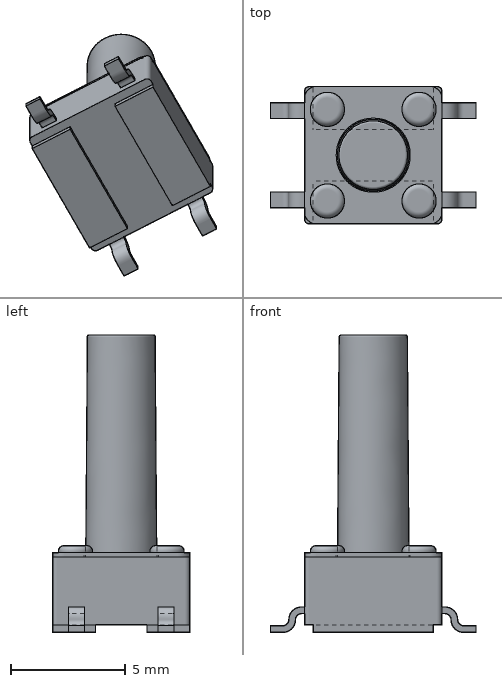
import cadquery as cq
import math

base_width = 6.0
base_corner_radius = 0.21
foot_height = 0.34
foot_half_length = 2.63
foot_width = 1.88
lid_bottom = 3.3
lid_top = 3.48
lid_corner_radius = 0.52

post_diameter = 1.5
post_height = 0.31
post_fillet = 0.25
post_spacing = 4.0

lid_hole_diameter = 3.24
button_bottom_diameter = 3.13
button_top_diameter = 2.99
button_top = 13.0
button_fillet = 0.098

lead_span = 9.0
lead_width = 0.7
lead_spacing = 3.9
lead_thickness = 0.3
lead_inner_radius = 0.26
lead_foot_length = 0.55

half_width = base_width / 2


def square_corners(spacing):
    """Centres of four features on a square."""
    half = spacing / 2
    return [(x, y) for x in (-half, half) for y in (-half, half)]


def rounded_block(bottom, top, corner_radius):
    """Square block of the base width with rounded vertical edges."""
    block = cq.Workplane("XY").workplane(offset=bottom).rect(base_width, base_width)
    return block.extrude(top - bottom).edges("|Z").fillet(corner_radius)


def make_button():
    """Slightly tapered round button rising from the top of the base."""
    return (
        cq.Workplane("XY", origin=(0, 0, lid_bottom))
        .circle(button_bottom_diameter / 2)
        .workplane(offset=button_top - lid_bottom)
        .circle(button_top_diameter / 2)
        .loft(ruled=True)
        .faces(">Z").edges().fillet(button_fillet)
    )


def make_base():
    """Body block with its end feet and the button that rises through the lid."""
    body = rounded_block(foot_height, lid_bottom, base_corner_radius)
    feet = (
        cq.Workplane("XY")
        .pushPoints([(0, side * (half_width - foot_width / 2)) for side in (-1, 1)])
        .rect(2 * foot_half_length, foot_width)
        .extrude(foot_height)
    )
    return body.union(feet).union(make_button())


def make_lid():
    """Cover plate with a button clearance hole and four domed posts."""
    plate = rounded_block(lid_bottom, lid_top, lid_corner_radius)
    plate = plate.faces(">Z").workplane(origin=(0, 0, lid_top)).hole(lid_hole_diameter)
    posts = (
        cq.Workplane("XY", origin=(0, 0, lid_top))
        .pushPoints(square_corners(post_spacing))
        .circle(post_diameter / 2)
        .extrude(post_height)
        .faces(">Z").edges().fillet(post_fillet)
    )
    return plate.union(posts)


def make_lead(side, y_center):
    """S-bent lead from the base wall down to the ground; side is -1 or 1 along X."""
    outer_radius = lead_inner_radius + lead_thickness
    lead_top = 2 * outer_radius
    tip = lead_span / 2
    lower_bend_x = tip - lead_foot_length
    upper_bend_x = lower_bend_x - lead_inner_radius - outer_radius

    def bend_middle(center_x, center_z, radius, direction):
        """Middle of a quarter bend, up and outward (1) or down and inward (-1)."""
        offset = direction * radius * math.sqrt(0.5)
        return (center_x + offset, center_z + offset)

    upper_center_z = lead_top - outer_radius
    lower_center_z = outer_radius
    profile = (
        cq.Workplane("XZ", origin=(0, y_center + lead_width / 2, 0))
        .moveTo(half_width, lead_top)
        .lineTo(upper_bend_x, lead_top)
        .threePointArc(
            bend_middle(upper_bend_x, upper_center_z, outer_radius, 1),
            (upper_bend_x + outer_radius, upper_center_z),
        )
        .threePointArc(
            bend_middle(lower_bend_x, lower_center_z, lead_inner_radius, -1),
            (lower_bend_x, lead_thickness),
        )
        .lineTo(tip, lead_thickness)
        .lineTo(tip, 0)
        .lineTo(lower_bend_x, 0)
        .threePointArc(
            bend_middle(lower_bend_x, lower_center_z, outer_radius, -1),
            (lower_bend_x - outer_radius, lower_center_z),
        )
        .threePointArc(
            bend_middle(upper_bend_x, upper_center_z, lead_inner_radius, 1),
            (upper_bend_x, lead_top - lead_thickness),
        )
        .lineTo(half_width, lead_top - lead_thickness)
        .close()
    )
    lead = profile.extrude(lead_width)
    return lead if side > 0 else lead.mirror("YZ")


base = make_base()
lid = make_lid()
leads = [
    make_lead(side, row * lead_spacing / 2).val()
    for side in (-1, 1)
    for row in (-1, 1)
]

result = cq.Compound.makeCompound([base.val(), lid.val(), *leads])